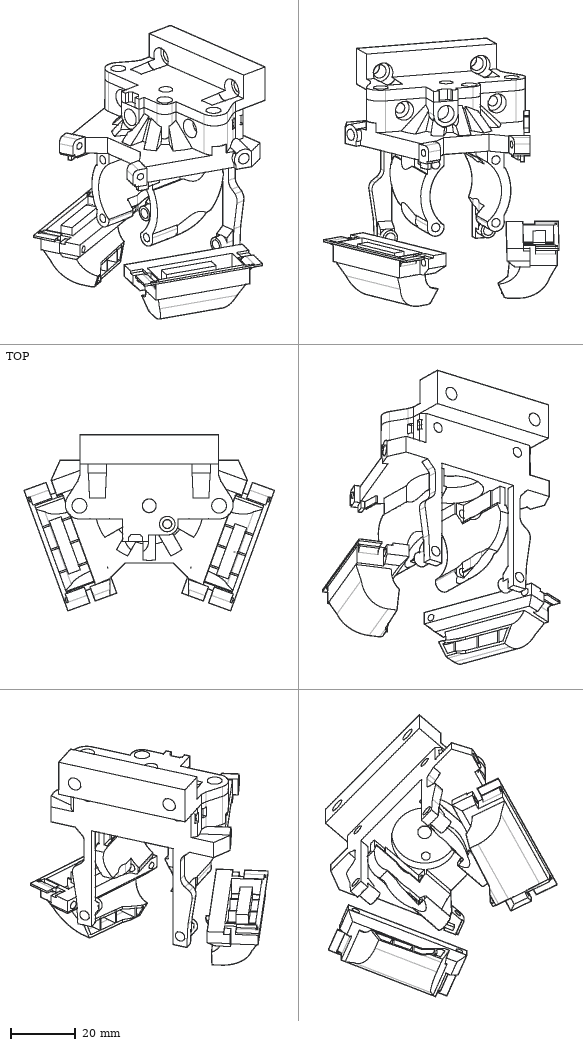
import cadquery as cq
import math


frame_plate_top = 5.4
split_z = 15.4
plate_thickness = 3.45
mount_top = split_z + plate_thickness

body_half_width = 21.6
body_back_y = 14.2
front_face_y = -4.1
ear_radius = 4.4
ear_x = 21.75
ear_y = front_face_y + ear_radius

nose_x = -4.25
nose_radius = 4.05
nose_front_y = -11.2
nose_axis_z = split_z - nose_radius

boss_x = 5.6
boss_y = -5.7
boss_radius = 3.4
boss_hole = 2.7
hotend_hole = 4.2

blower_tilt = 20
blower_size = 40
blower_hole_pitch = 35
blower_mid_y = -2.14
blower_mid_z = -14.25
front_hole_y = blower_mid_y - blower_hole_pitch / 2
back_hole_y = blower_mid_y + blower_hole_pitch / 2
upper_hole_z = blower_mid_z + blower_hole_pitch / 2
lower_hole_z = blower_mid_z - blower_hole_pitch / 2
blower_front_y = blower_mid_y - blower_size / 2
blower_back_y = blower_mid_y + blower_size / 2
lug_inner_x = 18.8
lug_outer_x = 26.0


def box(x0, x1, y0, y1, z0, z1):
    return cq.Workplane().box(x1 - x0, y1 - y0, z1 - z0, centered=False).translate((x0, y0, z0))


def rod_x(y, z, diameter, x0, x1):
    return cq.Workplane("YZ", origin=(x0, y, z)).circle(diameter / 2).extrude(x1 - x0)


def rod_y(x, z, diameter, y0, y1):
    return cq.Workplane("XZ", origin=(x, y1, z)).circle(diameter / 2).extrude(y1 - y0)


def rod_z(x, y, diameter, z0, z1):
    return cq.Workplane("XY", origin=(x, y, z0)).circle(diameter / 2).extrude(z1 - z0)


def prism_x(points, x0, x1):
    return cq.Workplane("YZ", origin=(x0, 0, 0)).polyline(points).close().extrude(x1 - x0)


def both_sides(shape):
    return shape.union(shape.mirror("YZ"))


def to_side(shape):
    """Turn a shape from the local blower axes to its place on the +X side."""
    return shape.rotate((0, 0, 0), (0, 0, 1), -blower_tilt)


def side_point(x, y):
    """Position of a local blower point on the +X side."""
    angle = math.radians(blower_tilt)
    return (x * math.cos(angle) + y * math.sin(angle), y * math.cos(angle) - x * math.sin(angle))


neck_y = 9.6
neck_blend = (22.3, 7.7)
ear_end_angle = math.radians(30)
ear_tangent = (
    ear_x + ear_radius * math.cos(ear_end_angle),
    ear_y + ear_radius * math.sin(ear_end_angle),
)


def body_outline(z0, height):
    """Waisted plan with a rounded ear on each side."""
    half = (
        cq.Workplane("XY", origin=(0, 0, z0))
        .moveTo(0, front_face_y)
        .lineTo(ear_x, front_face_y)
        .tangentArcPoint(ear_tangent, relative=False)
        .lineTo(*neck_blend)
        .lineTo(body_half_width, neck_y)
        .lineTo(body_half_width, body_back_y)
        .lineTo(0, body_back_y)
        .close()
        .extrude(height)
    )
    return both_sides(half)


def round_boss(z0, z1):
    """Boss for the small vertical screw, joined to the front face."""
    web = box(nose_x, boss_x, boss_y - boss_radius, front_face_y, z0, z1)
    flank = box(boss_x, boss_x + boss_radius, boss_y, front_face_y, z0, z1)
    return rod_z(boss_x, boss_y, 2 * boss_radius, z0, z1).union(web).union(flank)


block_back_y = 22.15
block_front_y = 13.0
block_top = 26.84
mount_hole_x = 16.15
mount_hole_z = 20.3
mount_hole = 4.2
mount_head = 6.5
mount_head_depth = 3.0
groove_step_y = 10.15
groove_end_y = 2.4
groove_start_diameter = 6.3
groove_end_diameter = 5.7
ear_hole = 4.6
boss_counterbore = 4.8
nut_slot_width = 4.4
nut_slot_depth = 2.2
nut_slot_corner = 0.8


def screw_groove(x):
    """Through hole in the block, head recess, and a tapering groove along the plate."""
    head = rod_y(x, mount_hole_z, mount_head, groove_step_y, block_front_y + mount_head_depth)
    taper = (
        cq.Workplane("XZ", origin=(x, groove_step_y, mount_hole_z))
        .circle(groove_start_diameter / 2)
        .workplane(offset=groove_step_y - groove_end_y)
        .circle(groove_end_diameter / 2)
        .loft()
    )
    return rod_y(x, mount_hole_z, mount_hole, block_front_y, block_back_y).union(head).union(taper)


def make_mount():
    plate = body_outline(split_z, plate_thickness)
    plate = plate.union(
        box(nose_x - nose_radius, nose_x + nose_radius, nose_front_y, front_face_y, split_z, mount_top)
    )
    plate = plate.union(round_boss(split_z, mount_top))
    plate = plate.union(
        box(-body_half_width, body_half_width, block_front_y, block_back_y, split_z, block_top)
    )
    for side in (-1, 1):
        plate = plate.cut(screw_groove(side * mount_hole_x))
        plate = plate.cut(rod_z(side * ear_x, 0, ear_hole, split_z, mount_top))
    plate = plate.cut(rod_z(0, 0, hotend_hole, split_z, mount_top))
    plate = plate.cut(rod_z(boss_x, boss_y, boss_counterbore, split_z, mount_top))
    slot = box(
        nose_x - nut_slot_width / 2, nose_x + nut_slot_width / 2,
        nose_front_y, nose_front_y + nut_slot_depth, split_z, mount_top,
    ).edges("|Z and >Y").chamfer(nut_slot_corner)
    return plate.cut(slot)


heatsink_bore = 20.6
back_corner_chamfer = 1.5
tower_screw_x = 15.4
tower_screw_z = 11.8
tower_screw_hole = 3.2
tower_screw_head = 6.0
tower_screw_head_depth = 4.0
nose_pocket = 5.4
nose_pocket_depth = 5.0
tie_tunnel_y = 10.4
tie_tunnel_height = 3.2
tie_tunnel_outer = 2.9
tie_tunnel_inner = 1.4
collar_base_radius = 12.0
collar_top_radius = 9.0
collar_top_z = 13.4
rib_reach = 17.0
rib_top_z = 13.4
rib_half_width = 2.0
wide_rib_inner = 1.6
wide_rib_outer = 5.0
narrow_rib_angles = (-30, 0, 30)
wide_rib_angle = 60


def tie_tunnel(side):
    """Curved cable-tie tunnel that enters and leaves through the side wall."""
    floor_z = tower_screw_z - tie_tunnel_height / 2
    return (
        cq.Workplane("XY", origin=(side * body_half_width, tie_tunnel_y, floor_z))
        .circle(tie_tunnel_outer)
        .circle(tie_tunnel_inner)
        .extrude(tie_tunnel_height)
    )


def cone(base_radius, top_radius, top_z):
    """Truncated cone that stands on the frame plate around the hot-end axis."""
    return (
        cq.Workplane("XY", origin=(0, 0, frame_plate_top))
        .circle(base_radius)
        .workplane(offset=top_z - frame_plate_top)
        .circle(top_radius)
        .loft()
    )


def make_ribs():
    """Radial ribs cut from one 45 degree cone, kept clear of the front of the nose."""
    top_radius = rib_reach - (rib_top_z - frame_plate_top)
    slabs = both_sides(
        box(-wide_rib_inner, wide_rib_outer, -rib_reach, 0, frame_plate_top, rib_top_z).rotate(
            (0, 0, 0), (0, 0, 1), wide_rib_angle
        )
    )
    for angle in narrow_rib_angles:
        slab = box(-rib_half_width, rib_half_width, -rib_reach, 0, frame_plate_top, rib_top_z)
        slabs = slabs.union(slab.rotate((0, 0, 0), (0, 0, 1), angle))
    ribs = cone(rib_reach, top_radius, rib_top_z).intersect(slabs)
    return ribs.cut(rod_y(nose_x, nose_axis_z, 2 * nose_radius, -rib_reach, nose_front_y))


def make_nose():
    """Round-bottomed nose that stands out from the front face."""
    upper = box(
        nose_x - nose_radius, nose_x + nose_radius, nose_front_y, front_face_y, nose_axis_z, split_z
    )
    round_bottom = rod_y(nose_x, nose_axis_z, 2 * nose_radius, nose_front_y, front_face_y)
    return upper.union(round_bottom)


def make_housing():
    housing = body_outline(0, split_z)
    housing = housing.edges("|Z and >Y").chamfer(back_corner_chamfer)
    side_cut = to_side(
        box(plate_side_x, plate_side_x + ear_radius, plate_side_front_y, plate_side_back_y, 0, riser_top)
    )
    housing = housing.cut(both_sides(side_cut))
    housing = housing.union(cone(collar_base_radius, collar_top_radius, collar_top_z))
    housing = housing.union(make_ribs()).union(make_nose())
    housing = housing.union(round_boss(frame_plate_top, split_z))
    return housing


def cut_housing_holes(frame):
    for side in (-1, 1):
        x = side * tower_screw_x
        frame = frame.cut(rod_y(x, tower_screw_z, tower_screw_hole, front_face_y, body_back_y))
        frame = frame.cut(
            rod_y(x, tower_screw_z, tower_screw_head, front_face_y, front_face_y + tower_screw_head_depth)
        )
        frame = frame.cut(tie_tunnel(side))
    frame = frame.cut(
        rod_y(nose_x, nose_axis_z, nose_pocket, nose_front_y, nose_front_y + nose_pocket_depth)
    )
    frame = frame.cut(rod_z(0, 0, heatsink_bore, 0, frame_plate_top))
    frame = frame.cut(rod_z(0, 0, hotend_hole, 0, split_z))
    return frame.cut(rod_z(boss_x, boss_y, boss_hole, 0, split_z))


plate_front_y = -17.9
plate_front_half_width = 7.5
plate_front_corner_y = -22.7
plate_side_x = 24.2
plate_side_front_y = -17.4
plate_side_back_y = 12.7
plate_back_corner_x = 27.8
plate_shoulder_y = 18.0
lug_bottom = 0.8
front_lug_top = 5.7
front_lug_round = 1.8
back_lug_radius = 3.2
back_lug_inner_x = 14.0
back_lug_hole = 3.5
front_lug_hole = 2.1
riser_depth = 3.0
riser_front_y = 5.4
riser_back_y = 10.2
riser_top = 8.3
stop_depth = 2.3
stop_thickness = 1.2
front_lug_min_x = 12.3
stop_rail_x = 15.2
stop_rail_width = 0.7
stop_rail_front_y = -23.5


def make_frame_plate():
    half = (
        cq.Workplane("XY")
        .moveTo(0, plate_front_y)
        .lineTo(plate_front_half_width, plate_front_y)
        .lineTo(front_lug_min_x, plate_front_corner_y)
        .lineTo(*side_point(plate_side_x, plate_side_front_y))
        .lineTo(*side_point(plate_side_x, plate_side_back_y))
        .lineTo(*side_point(lug_outer_x, plate_side_back_y))
        .lineTo(*side_point(lug_outer_x, plate_shoulder_y))
        .lineTo(plate_back_corner_x, body_back_y)
        .lineTo(0, body_back_y)
        .close()
        .extrude(frame_plate_top)
    )
    return both_sides(half)


def make_upper_lugs():
    """Both blower lugs of one side with the riser and the stop, in local axes."""
    front = box(
        lug_inner_x, lug_outer_x, blower_front_y, plate_side_front_y, lug_bottom, front_lug_top
    ).edges("|X and <Y and >Z").fillet(front_lug_round)
    foot = box(
        lug_inner_x, lug_outer_x, blower_front_y + lug_bottom, plate_side_front_y, 0, lug_bottom
    )
    back = rod_x(back_hole_y, upper_hole_z, 2 * back_lug_radius, back_lug_inner_x, lug_outer_x)
    back = back.intersect(
        box(back_lug_inner_x, lug_outer_x, plate_side_back_y - lug_bottom, plate_shoulder_y,
            lug_bottom, upper_hole_z + back_lug_radius)
    )
    riser = box(
        plate_side_x - riser_depth, plate_side_x, riser_front_y, riser_back_y, 0, riser_top
    )
    stop = box(
        plate_side_x - stop_thickness, plate_side_x,
        front_hole_y, plate_side_front_y + stop_thickness, -stop_depth, lug_bottom,
    )
    return front.union(foot).union(back).union(riser).union(stop)


def front_lug_trim():
    """Space beside the front lug, whose inner flank runs along Y."""
    return box(0, front_lug_min_x, -blower_size, plate_front_y, 0, front_lug_top)


def stop_rail():
    """Low rail under the plate from the stop to the fan face."""
    return box(
        stop_rail_x, stop_rail_x + stop_rail_width, stop_rail_front_y, fan_front_y, -stop_depth, lug_bottom
    )


def upper_lug_holes():
    """Blower screw holes of one side, in local axes."""
    front = rod_x(front_hole_y, upper_hole_z, front_lug_hole, lug_inner_x, lug_outer_x)
    back = rod_x(back_hole_y, upper_hole_z, back_lug_hole, back_lug_inner_x, lug_outer_x)
    return front.union(back)


fan_z = -13.1
fan_hole_offset = 10.0
fan_hole = 2.7
fan_ear_radius = 2.8
fan_front_y = -17.57
fan_ear_back_y = -7.0
duct_inner_radius = 11.9
duct_outer_radius = 15.0
duct_wall_x = 12.7
duct_back_y = 11.25
sink_shell_radius = 14.0
sink_shell_half_length = 7.0
duct_bottom = fan_z - fan_hole_offset - fan_ear_radius
duct_side = [
    (fan_front_y, 0),
    (duct_back_y, 0),
    (duct_back_y, -8.5),
    (6.7, -20.0),
    (-9.5, duct_bottom),
    (fan_front_y, duct_bottom),
]


def make_duct():
    """Half of the split fan duct on the +X side."""
    inner_x = fan_hole_offset - fan_ear_radius
    tube = rod_y(0, fan_z, 2 * duct_outer_radius, fan_front_y, duct_back_y)
    tube = tube.intersect(
        box(duct_inner_radius - 2, duct_outer_radius, fan_front_y, duct_back_y,
            fan_z - fan_hole_offset, fan_z + fan_hole_offset - fan_ear_radius)
    )
    wall = box(duct_inner_radius - 1, duct_wall_x, fan_front_y, duct_back_y, fan_z, 0)
    ears = box(
        inner_x, duct_wall_x, fan_front_y, fan_ear_back_y, fan_z - fan_hole_offset, 0
    ).union(
        rod_y(fan_hole_offset, fan_z - fan_hole_offset, 2 * fan_ear_radius, fan_front_y, fan_ear_back_y)
    )
    sink_shell = rod_z(0, 0, 2 * sink_shell_radius, duct_bottom, 0).intersect(
        box(heatsink_bore / 2, sink_shell_radius,
            -sink_shell_half_length, sink_shell_half_length, duct_bottom, 0)
    )
    duct = tube.union(wall).union(ears).union(sink_shell)
    duct = duct.cut(rod_y(0, fan_z, 2 * duct_inner_radius, fan_front_y, duct_back_y))
    duct = duct.cut(rod_z(0, 0, heatsink_bore, duct_bottom, 0))
    for z in (fan_z - fan_hole_offset, fan_z + fan_hole_offset):
        duct = duct.cut(rod_y(fan_hole_offset, z, fan_hole, fan_front_y, fan_ear_back_y))
    return duct.intersect(prism_x(duct_side, 0, duct_outer_radius))


leg_bottom = -34.25
leg_inner_x = 13.9
foot_x = 16.3
foot_z = -30.8
foot_diameter = 4.8
foot_hole = 3.2
foot_front_y = 6.1
leg_root_x = 19.5
leg_waist_x = 16.5
leg_knee_x = 20.4
leg_ankle = (19.0, -26.0)
leg_foot_x = 18.6
gusset_top_z = -26.5
gusset_base_z = -28.5
gusset_front_y = 8.7


def make_leg():
    """Flat back leg on the +X side with the screw boss at its foot."""
    leg = (
        cq.Workplane("XZ", origin=(0, body_back_y, 0))
        .moveTo(leg_inner_x, 0)
        .lineTo(leg_root_x, 0)
        .lineTo(17.3, -2.2)
        .threePointArc((16.7, -3.0), (leg_waist_x, -4.0))
        .lineTo(leg_waist_x, -10.3)
        .threePointArc((17.0, -11.8), (18.0, -12.8))
        .lineTo(19.5, -13.9)
        .threePointArc((20.3, -15.1), (leg_knee_x, -16.8))
        .lineTo(*leg_ankle)
        .lineTo(leg_foot_x, leg_bottom)
        .lineTo(leg_inner_x, leg_bottom)
        .close()
        .extrude(body_back_y - duct_back_y)
    )
    boss = rod_y(foot_x, foot_z, foot_diameter, foot_front_y, body_back_y)
    gusset = prism_x(
        [(duct_back_y, gusset_top_z), (duct_back_y, gusset_base_z - foot_diameter / 2),
         (gusset_front_y, gusset_base_z - foot_diameter / 2), (gusset_front_y, gusset_base_z)],
        leg_inner_x, leg_foot_x,
    )
    return leg.union(gusset).union(boss).cut(rod_y(foot_x, foot_z, foot_hole, foot_front_y, body_back_y))


def make_frame():
    frame = make_housing().union(make_frame_plate())
    lugs = to_side(make_upper_lugs()).cut(front_lug_trim())
    frame = frame.union(both_sides(lugs)).union(both_sides(stop_rail()))
    frame = frame.cut(both_sides(to_side(upper_lug_holes())))
    frame = cut_housing_holes(frame)
    frame = frame.union(both_sides(make_duct()))
    return frame.union(both_sides(make_leg()))


tray_top = -29.35
tray_bottom = -35.7
tray_inner_x = 23.0
tray_outer_x = 34.5
tray_half_length = 15.95
tray_wall = 1.0
tray_end_wall = 1.6
rim_thickness = 0.65
rim_outer_x = 35.05
tab_inner_x = 27.7
tab_outer_x = 34.0
tab_bend_radius = 2.7
tab_bend_inner = 1.5
bar_chamfer = 2.4
lug_relief = 0.8
nozzle_front_hole = 2.1
nozzle_back_hole = 2.45
splitter_inner_x = 27.0
splitter_outer_x = 30.9
splitter_bottom = -33.0
vane_thickness = 0.5
overall_height = 73.95
spout_bottom = block_top - overall_height
spout_ends = [(-17.2, tray_bottom), (12.4, tray_bottom), (7.3, spout_bottom), (-13.5, spout_bottom)]
tip_top = (16.1, -42.2)
tip_bottom = (18.0, -46.8)
spout_wall = 1.0
inner_curve_point = (20.8, -40.2)
floor_end_x = 22.5
tip_front = (15.8, -14.0)
tip_middle = (19.1, -7.0)
tip_back = (19.6, 9.0)


def spout_solid():
    """Curved spout that turns the air inward, tapering in length toward its bottom."""
    profile = (
        cq.Workplane("XZ", origin=(0, blower_back_y, 0))
        .moveTo(tray_inner_x, tray_bottom)
        .threePointArc(inner_curve_point, tip_top)
        .lineTo(*tip_bottom)
        .lineTo(19.0, spout_bottom)
        .lineTo(floor_end_x, spout_bottom)
        .threePointArc((28.7, -45.0), (32.2, -40.0))
        .lineTo(tray_outer_x, tray_bottom)
        .close()
        .extrude(blower_size)
    )
    return profile.intersect(prism_x(spout_ends, 0, rim_outer_x)).intersect(tip_limit())


def tip_limit():
    """Space outward of the tip edge, which leaves a prong at the front end."""
    return (
        cq.Workplane("XY", origin=(0, 0, spout_bottom))
        .polyline([
            (tip_front[0], blower_front_y),
            tip_front,
            tip_middle,
            tip_back,
            (tip_back[0], blower_back_y),
            (rim_outer_x, blower_back_y),
            (rim_outer_x, blower_front_y),
        ])
        .close()
        .extrude(tray_top - spout_bottom)
    )


def spout_cavity():
    """Air passage of the spout, from the tray floor to the open tip."""
    floor_z = tray_bottom + spout_wall
    inside_bottom = spout_bottom + spout_wall
    profile = (
        cq.Workplane("XZ", origin=(0, blower_back_y, 0))
        .moveTo(tray_inner_x + tray_wall, floor_z)
        .lineTo(tray_inner_x + tray_wall, tray_bottom)
        .threePointArc((21.1, -40.9), (tip_top[0] - spout_wall, tip_top[1] - spout_wall))
        .lineTo(tip_bottom[0] - spout_wall, inside_bottom)
        .lineTo(floor_end_x, inside_bottom)
        .threePointArc((28.0, -44.3), (31.2, -39.6))
        .lineTo(tray_outer_x - tray_wall, tray_bottom)
        .lineTo(tray_outer_x - tray_wall, floor_z)
        .close()
        .extrude(blower_size)
    )
    front_top, back_top, back_bottom, front_bottom = spout_ends
    ends = [
        (front_top[0] + spout_wall, floor_z),
        (back_top[0] - spout_wall, floor_z),
        (back_bottom[0] - spout_wall, spout_bottom),
        (front_bottom[0] + spout_wall, spout_bottom),
    ]
    return profile.intersect(prism_x(ends, 0, rim_outer_x))


def bent_tab():
    """Back end tab: a flat lip that bends down into the tray end wall."""
    bend_y = blower_mid_y + tray_half_length + tab_bend_inner
    bend_z = tray_top - tab_bend_radius
    lip = box(tab_inner_x, tray_outer_x, bend_y, blower_back_y, tray_top - rim_thickness, tray_top)
    bend = (
        cq.Workplane("YZ", origin=(tab_inner_x, bend_y, bend_z))
        .circle(tab_bend_radius)
        .circle(tab_bend_inner)
        .extrude(tab_outer_x - tab_inner_x)
    )
    quarter = box(
        tab_inner_x, tab_outer_x, bend_y - tab_bend_radius, bend_y, bend_z, tray_top
    )
    return lip.union(bend.intersect(quarter)), quarter


def both_ends(shape):
    return shape.union(shape.mirror("XZ", (0, blower_mid_y, 0)))


def make_nozzle(splitter_front, splitter_back, vane_positions):
    """Nozzle in the local axes of its blower."""
    tray_front_y = blower_mid_y - tray_half_length
    tray_back_y = blower_mid_y + tray_half_length
    cavity = box(
        tray_inner_x + tray_wall, tray_outer_x - tray_wall,
        tray_front_y + tray_end_wall, tray_back_y - tray_end_wall,
        tray_bottom + spout_wall, tray_top,
    )
    passage = spout_cavity()

    nozzle = box(tray_inner_x, tray_outer_x, tray_front_y, tray_back_y, tray_bottom, tray_top)
    bar = box(lug_inner_x, lug_outer_x, blower_front_y, blower_back_y, tray_bottom, tray_top)
    bar = bar.edges("(|X and <Z) or (|Y and <X and <Z)").chamfer(bar_chamfer)
    nozzle = nozzle.union(bar).union(spout_solid())

    tab, bend_space = bent_tab()
    nozzle = nozzle.cut(both_ends(bend_space)).cut(cavity).cut(passage).union(both_ends(tab))
    relief = box(
        tray_inner_x + tray_wall, lug_outer_x, tray_back_y, blower_back_y, tray_top - lug_relief, tray_top
    )
    nozzle = nozzle.cut(both_ends(relief))
    rim = box(
        tray_outer_x, rim_outer_x, blower_front_y, blower_back_y, tray_top - rim_thickness, tray_top
    )
    nozzle = nozzle.union(rim)

    splitter = box(
        splitter_inner_x, splitter_outer_x, splitter_front, splitter_back, splitter_bottom, tray_top
    )
    nozzle = nozzle.union(splitter)
    air_space = passage.union(
        box(tray_inner_x + tray_wall, tray_outer_x - tray_wall, tray_front_y + tray_end_wall,
            tray_back_y - tray_end_wall, tray_bottom + spout_wall, splitter_bottom)
    )
    for y in vane_positions:
        slab = box(0, rim_outer_x, y - vane_thickness / 2, y + vane_thickness / 2, spout_bottom, tray_top)
        nozzle = nozzle.union(air_space.intersect(slab).intersect(tip_limit()))

    nozzle = nozzle.cut(rod_x(front_hole_y, lower_hole_z, nozzle_front_hole, lug_inner_x, lug_outer_x))
    return nozzle.cut(rod_x(back_hole_y, lower_hole_z, nozzle_back_hole, lug_inner_x, lug_outer_x))


mount = make_mount()
frame = make_frame()
right_nozzle = to_side(make_nozzle(-13.0, 3.9, (2.5, -4.2, -11.0)))
left_nozzle = to_side(make_nozzle(-11.4, 6.2, (5.0, -2.5, -10.0))).mirror("YZ")

result = cq.Compound.makeCompound(
    [body.solids().val() for body in (mount, frame, right_nozzle, left_nozzle)]
)